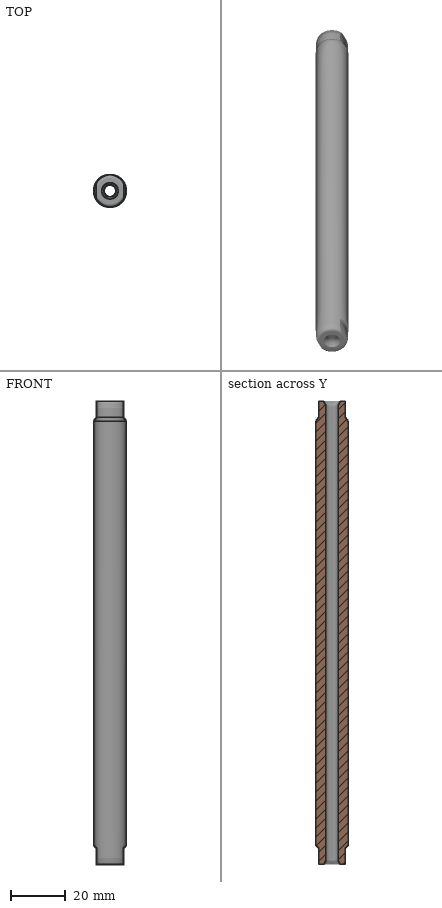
import cadquery as cq
import math

ROD_DIAMETER = 12.0
ROD_LENGTH = 170.0
ROD_RADIUS = ROD_DIAMETER / 2
HALF_LENGTH = ROD_LENGTH / 2

TAPER_ANGLE = math.radians(11)
TAPER_LENGTH = 2.5
RIM_FILLET = 1.0
END_RADIUS = ROD_RADIUS - TAPER_LENGTH * math.tan(TAPER_ANGLE)

GROOVE_OFFSET = 6.0
GROOVE_WIDTH = 1.4
GROOVE_DEPTH = 0.2
GROOVE_RADIUS = ROD_RADIUS - GROOVE_DEPTH

ACROSS_FLATS = 10.0
FLAT_DEPTH = (ROD_DIAMETER - ACROSS_FLATS) / 2
FLAT_LENGTH = 6.0
RUN_OUT_LENGTH = 1.15
CUTTER_OVERSHOOT = 2.0

BORE_DIAMETER = 4.3
MOUTH_DIAMETER = 6.0
MOUTH_DEPTH = 1.6


def make_rod():
    """Turned outside of the rod, with both tapered ends and the groove."""
    groove_top = HALF_LENGTH - GROOVE_OFFSET
    groove_bottom = groove_top - GROOVE_WIDTH
    taper_start = HALF_LENGTH - TAPER_LENGTH
    profile = [
        (0, -HALF_LENGTH),
        (END_RADIUS, -HALF_LENGTH),
        (ROD_RADIUS, -taper_start),
        (ROD_RADIUS, groove_bottom),
        (GROOVE_RADIUS, groove_bottom),
        (GROOVE_RADIUS, groove_top),
        (ROD_RADIUS, groove_top),
        (ROD_RADIUS, taper_start),
        (END_RADIUS, HALF_LENGTH),
        (0, HALF_LENGTH),
    ]
    rod = cq.Workplane("XZ").polyline(profile).close().revolve(360, (0, 0, 0), (0, 1, 0))
    rod = rod.faces(">Z").edges().fillet(RIM_FILLET)
    return rod.faces("<Z").edges().fillet(RIM_FILLET)


def make_flat_cutter(side, end):
    """Block outside one flat; side is the sign of X and end the sign of Z."""
    flat_x = ACROSS_FLATS / 2
    outside_x = flat_x + CUTTER_OVERSHOOT * FLAT_DEPTH
    run_out_z = HALF_LENGTH - FLAT_LENGTH
    profile = [
        (flat_x, HALF_LENGTH),
        (flat_x, run_out_z),
        (outside_x, run_out_z - CUTTER_OVERSHOOT * RUN_OUT_LENGTH),
        (outside_x, HALF_LENGTH),
    ]
    points = [(side * x, end * z) for x, z in profile]
    return cq.Workplane("XZ").polyline(points).close().extrude(ROD_RADIUS, both=True)


def make_bore():
    """Through bore together with the conical mouth at each end."""
    bore = cq.Workplane("XY").circle(BORE_DIAMETER / 2).extrude(HALF_LENGTH, both=True)
    upper_mouth = (
        cq.Workplane("XY", origin=(0, 0, HALF_LENGTH - MOUTH_DEPTH))
        .circle(BORE_DIAMETER / 2)
        .workplane(offset=MOUTH_DEPTH)
        .circle(MOUTH_DIAMETER / 2)
        .loft()
    )
    return bore.union(upper_mouth).union(upper_mouth.mirror("XY"))


result = make_rod()
for x_sign in (-1, 1):
    for z_sign in (-1, 1):
        result = result.cut(make_flat_cutter(x_sign, z_sign))
result = result.cut(make_bore())